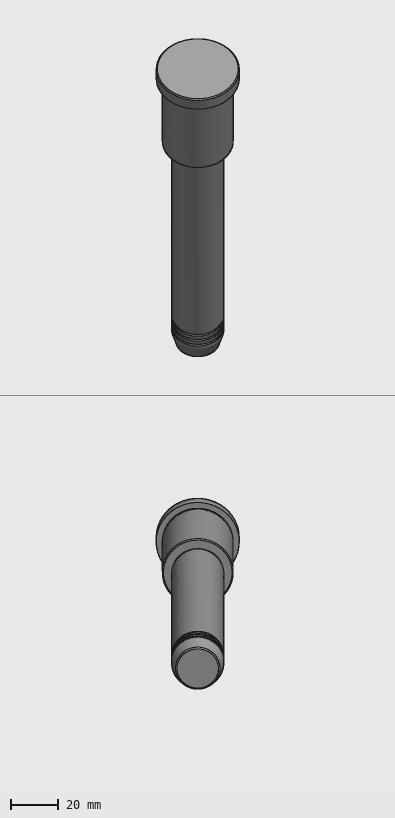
import cadquery as cq

total_length = 171.0
head_radius = 35.0 / 2
head_height = 6.0
head_chamfer = 0.5

body_radius = 30.0 / 2
body_bottom = 125.0
body_chamfer = 0.5
body_relief_height = 1.0
body_relief_depth = 0.5

shaft_radius = 22.0 / 2
neck_height = 1.0
neck_depth = 0.5

nose_height = 7.0
nose_tip_radius = 9.2
nose_chamfer = 0.5

groove_count = 3
groove_pitch = 3.0
groove_width = 1.0
groove_depth = 0.5
lowest_groove_center = 9.5


def disc(radius, bottom, top):
    """Solid cylinder on the Z axis between two heights."""
    return cq.Workplane("XY").workplane(offset=bottom).circle(radius).extrude(top - bottom)


def ring_cut(radius, depth, bottom, height):
    """Ring that removes the given depth from a cylinder of the given radius."""
    clearance = 1.7
    outer = disc(radius + clearance, bottom, bottom + height)
    return outer.cut(disc(radius - depth, bottom, bottom + height))


def v_ring(radius, depth, center, width):
    """Ring with a V section whose open side lies on a cylinder of the given radius."""
    return (
        cq.Workplane("XZ")
        .moveTo(radius, center - width / 2)
        .lineTo(radius - depth, center)
        .lineTo(radius, center + width / 2)
        .close()
        .revolve(360, (0, 0), (0, 1))
    )


def make_head():
    head = disc(head_radius, total_length - head_height, total_length)
    return head.faces(">Z").chamfer(head_chamfer)


def make_body():
    top = total_length - head_height
    body = disc(body_radius, body_bottom, top).faces("<Z").chamfer(body_chamfer)
    relief_center = top - body_relief_height / 2
    return body.cut(v_ring(body_radius, body_relief_depth, relief_center, body_relief_height))


def make_nose():
    nose = (
        cq.Workplane("XZ")
        .lineTo(nose_tip_radius, 0)
        .lineTo(shaft_radius, nose_height)
        .lineTo(0, nose_height)
        .close()
        .revolve(360, (0, 0), (0, 1))
    )
    return nose.faces("<Z").edges().chamfer(nose_chamfer)


def make_shaft():
    shaft = disc(shaft_radius, nose_height, body_bottom)
    shaft = shaft.cut(ring_cut(shaft_radius, neck_depth, body_bottom - neck_height, neck_height))
    for index in range(groove_count):
        center = lowest_groove_center + index * groove_pitch
        shaft = shaft.cut(v_ring(shaft_radius, groove_depth, center, groove_width))
    return shaft


result = make_head().union(make_body()).union(make_shaft()).union(make_nose())